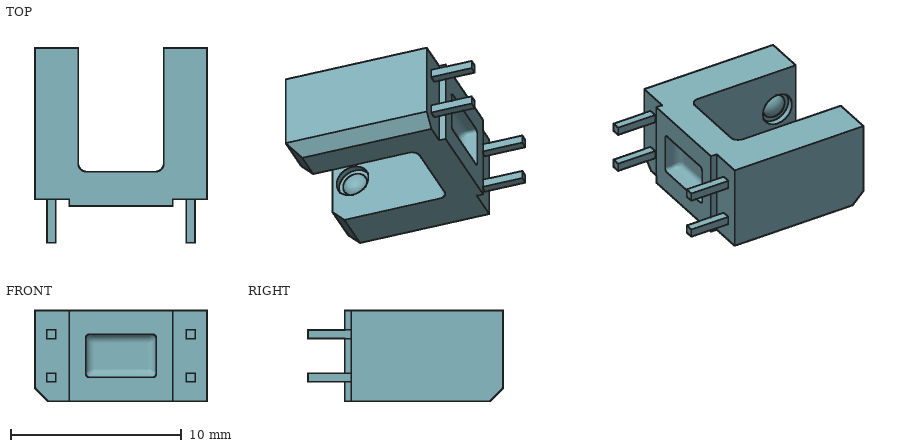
import cadquery as cq

body_width = 10.08
body_height = 5.33
body_length = 8.88
slot_width = 5.01
slot_depth = 7.26
slot_corner_radius = 0.5
chamfer = 0.75

pad_width = 6.08
pad_thickness = 0.4

pocket_width = 4.14
pocket_height = 2.54
pocket_depth = 1.0
pocket_corner_radius = 0.24
pocket_floor_radius = 0.5

pin_size = 0.51
pin_length = 2.55
pin_spacing_x = 8.16
pin_spacing_z = 2.54

recess_diameter = 2.0
recess_depth = 0.4
recess_end_distance = 1.27
lens_diameter = 1.5
lens_height = 0.4

overlap = 0.11


def block(width, length, height, y_start):
    """Box centred in X and Z, running from y_start towards +Y."""
    return cq.Workplane("XY").box(width, length, height, (True, False, True)).translate((0, y_start, 0))


def make_body():
    body = block(body_width, body_length, body_height, 0)
    body = body.edges("|Y and <X and <Z").chamfer(chamfer)
    body = body.faces(">Y").edges("<Z").chamfer(chamfer)
    slot = block(slot_width, slot_depth, body_height, body_length - slot_depth)
    slot = slot.faces("<Y").edges("|Z").fillet(slot_corner_radius)
    pad = block(pad_width, pad_thickness + overlap, body_height, -pad_thickness)
    return body.cut(slot).union(pad)


def make_pocket():
    pocket = block(pocket_width, pocket_depth, pocket_height, -pad_thickness)
    pocket = pocket.edges("|Y").fillet(pocket_corner_radius)
    return pocket.faces(">Y").edges().fillet(pocket_floor_radius)


def make_pins():
    pin = block(pin_size, pin_length + overlap, pin_size, -pin_length)
    pins = cq.Workplane("XY")
    for x in (-pin_spacing_x / 2, pin_spacing_x / 2):
        for z in (-pin_spacing_z / 2, pin_spacing_z / 2):
            pins = pins.add(pin.translate((x, 0, z)))
    return pins.combine()


def make_lens_recess():
    """Recess in the inner face of the +X arm, with a domed lens left standing on its floor."""
    y = body_length - recess_end_distance
    face_x = slot_width / 2
    floor_x = face_x + recess_depth
    recess = cq.Workplane("YZ", origin=(face_x, y, 0)).circle(recess_diameter / 2).extrude(recess_depth)
    sphere_radius = (lens_diameter**2 / 4 + lens_height**2) / (2 * lens_height)
    sphere_x = floor_x - lens_height + sphere_radius
    lens = cq.Workplane("XY").sphere(sphere_radius).translate((sphere_x, y, 0))
    return recess.cut(lens)


lens_recess = make_lens_recess()
result = (
    make_body()
    .cut(make_pocket())
    .cut(lens_recess)
    .cut(lens_recess.mirror("YZ"))
    .union(make_pins())
)